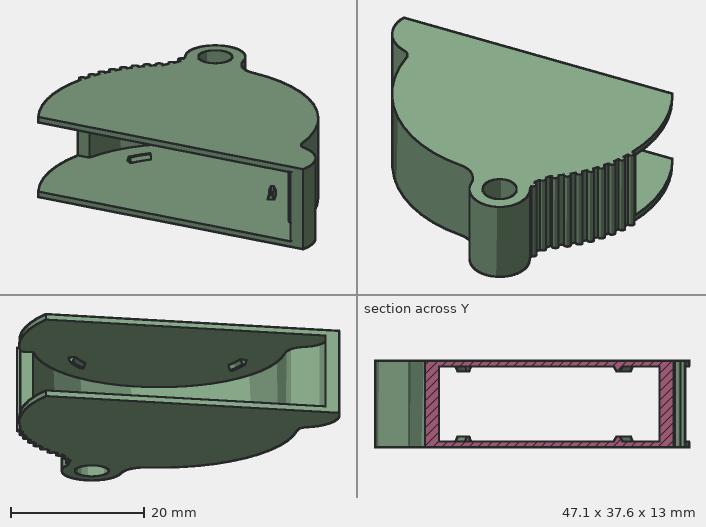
import cadquery as cq
import math

HEIGHT = 13.0
PLATE = 0.9
WALL = 1.9
DISC_R = 21.0
FRONT_Y = -9.2

EAR_X, EAR_Y = -6.05, 23.9
EAR_R = 4.52
EAR_HOLE_R = 2.55
EAR_FILLET = 3.75

BUMP_X, BUMP_Y = 20.3, -7.15
BUMP_R = 5.8
BUMP_FILLET = 1.5

TOOTH_R = 0.5
TOOTH_CENTRE_R = DISC_R + 0.15
TOOTH_COUNT = 8
TOOTH_START = 160.0
TOOTH_PITCH = 5.0
NECK_TEETH = [(-10.7, 18.7), (-10.05, 20.65)]
NECK_LEFT_SIDE = [(-11.45, 17.65), (-10.0, 19.95), (-10.05, 21.8)]

SIDE_WALL_END_Y = 6.15

RIB_R = 14.15
RIB_WIDTH = 1.05
RIB_HEIGHT = 0.75
RIB_INSET = 0.35
RIB_SPANS = [(134.5, 148.5), (16.5, 30.5)]

REACH = 2 * DISC_R
CAVITY_HEIGHT = HEIGHT - 2 * PLATE


def polar(radius, angle):
    a = math.radians(angle)
    return (radius * math.cos(a), radius * math.sin(a))


def cylinder(x, y, radius, bottom, height):
    return cq.Workplane("XY", origin=(x, y, bottom)).circle(radius).extrude(height)


def box(x_min, x_max, y_min, y_max, bottom, height):
    size = (x_max - x_min, y_max - y_min, height)
    return cq.Workplane("XY").box(*size, centered=False).translate((x_min, y_min, bottom))


def upper_meeting_point(x, y, radius, disc_radius, side):
    """Point where a circle crosses the disc, left (+1) or right (-1) of the line of centres."""
    distance = math.hypot(x, y)
    along = (distance**2 + disc_radius**2 - radius**2) / (2 * distance)
    turn = math.degrees(math.acos(along / disc_radius))
    return polar(disc_radius, math.degrees(math.atan2(y, x)) + side * turn)


def disc_and_bump(inset, bottom, height):
    """Disc blended into the bump, cut flat at the front; inset moves the outline inwards."""
    disc_r = DISC_R - inset
    bump_r = BUMP_R - inset
    shape = cylinder(0, 0, disc_r, bottom, height)
    shape = shape.union(cylinder(BUMP_X, BUMP_Y, bump_r, bottom, height))
    shape = shape.union(box(0, BUMP_X, FRONT_Y, BUMP_Y, bottom, height))
    shape = shape.cut(box(-REACH, REACH, -REACH, FRONT_Y, bottom, height))
    corner = upper_meeting_point(BUMP_X, BUMP_Y, bump_r, disc_r, 1)
    edge = cq.selectors.NearestToPointSelector((*corner, bottom + height / 2))
    return shape.edges("|Z").edges(edge).fillet(BUMP_FILLET + inset)


def add_ear(body):
    body = body.union(cylinder(EAR_X, EAR_Y, EAR_R, 0, HEIGHT))
    corner = upper_meeting_point(EAR_X, EAR_Y, EAR_R, DISC_R, -1)
    edge = cq.selectors.NearestToPointSelector((*corner, HEIGHT / 2))
    body = body.edges("|Z").edges(edge).fillet(EAR_FILLET)
    neck = NECK_LEFT_SIDE + [(EAR_X, EAR_Y), (EAR_X, NECK_LEFT_SIDE[0][1])]
    body = body.union(cq.Workplane("XY").polyline(neck).close().extrude(HEIGHT))
    return body.cut(cylinder(EAR_X, EAR_Y, EAR_HOLE_R, 0, HEIGHT))


def add_teeth(body):
    centres = [polar(TOOTH_CENTRE_R, TOOTH_START - i * TOOTH_PITCH) for i in range(TOOTH_COUNT)]
    for x, y in centres + NECK_TEETH:
        body = body.union(cylinder(x, y, TOOTH_R, 0, HEIGHT))
    return body


def cavity():
    side_opening = box(-REACH, 0, FRONT_Y, SIDE_WALL_END_Y, PLATE, CAVITY_HEIGHT)
    return disc_and_bump(WALL, PLATE, CAVITY_HEIGHT).union(side_opening)


def rib_outline(start, end, inset, level):
    """Arc strip at one level, with both curved sides moved inwards by the inset."""
    outer = RIB_R + RIB_WIDTH / 2 - inset
    inner = RIB_R - RIB_WIDTH / 2 + inset
    middle = (start + end) / 2
    return (
        cq.Workplane("XY", origin=(0, 0, level))
        .moveTo(*polar(outer, start))
        .threePointArc(polar(outer, middle), polar(outer, end))
        .lineTo(*polar(inner, end))
        .threePointArc(polar(inner, middle), polar(inner, start))
        .close()
        .wire()
        .val()
    )


def rib(start, end):
    """Arc rib with sloping sides and upright ends, standing on the bottom plate."""
    base = rib_outline(start, end, 0, PLATE)
    crest = rib_outline(start, end, RIB_INSET, PLATE + RIB_HEIGHT)
    return cq.Workplane(cq.Solid.makeLoft([base, crest], True))


result = add_teeth(add_ear(disc_and_bump(0, 0, HEIGHT))).cut(cavity())
for start_angle, end_angle in RIB_SPANS:
    lower_rib = rib(start_angle, end_angle)
    upper_rib = lower_rib.mirror("XY", (0, 0, HEIGHT / 2))
    result = result.union(lower_rib).union(upper_rib)